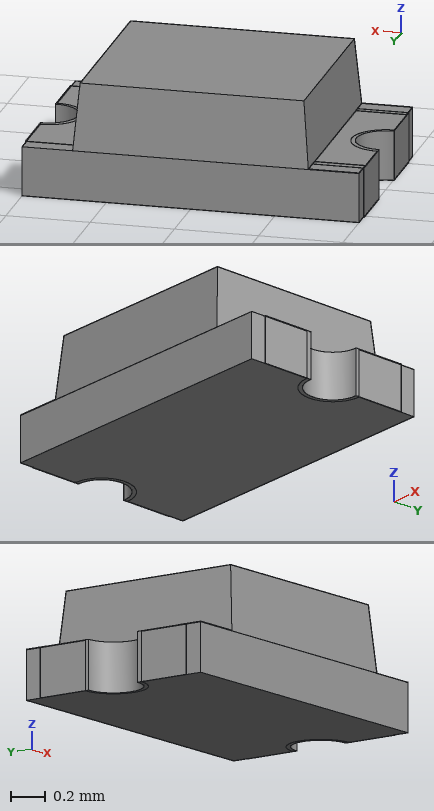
import cadquery as cq

board_length = 2.0
board_width = 1.25
board_height = 0.297
board_notch_radius = 0.2

lens_length = 1.399
lens_draft = 5.0
total_height = 0.7
lens_height = total_height - board_height

end_plating = 0.005
pad_thickness = 0.002
terminal_width = 1.05
open_notch_radius = 0.175
terminal_height = board_height + pad_thickness

mark_width = 0.143
mark_cover = 0.002

end_x = board_length / 2
pad_length = (board_length - lens_length) / 2
pad_x = end_x - pad_length / 2


def block(length, width, height, x=0, y=0, z=0):
    """Box centred on (x, y) with its base at height z."""
    return cq.Workplane("XY").box(length, width, height, centered=(True, True, False)).translate((x, y, z))


def end_cylinder(radius, side):
    """Upright cylinder of terminal height, centred on one end face of the board."""
    return cq.Workplane("XY").center(side * end_x, 0).circle(radius).extrude(terminal_height)


def make_pad(side):
    """Thin pad on the board top, from the lens to the board end."""
    return block(pad_length, terminal_width, pad_thickness, x=side * pad_x, z=board_height)


def make_board():
    """Plain board with a half-round notch in each end."""
    board = block(board_length, board_width, board_height)
    for side in (-1, 1):
        board = board.cut(end_cylinder(board_notch_radius, side))
    return board


def make_lens():
    """Block as wide as the board that narrows upward on all four sides."""
    base = cq.Workplane("XY").workplane(offset=board_height).rect(lens_length, board_width)
    return base.extrude(lens_height, taper=lens_draft)


def make_terminal(side):
    """End plate, notch sleeve and top pad in one piece, open along the notch."""
    plate = block(end_plating, terminal_width, terminal_height, x=side * (end_x + end_plating / 2))
    envelope = block(board_length, terminal_width, terminal_height)
    sleeve = end_cylinder(board_notch_radius, side).intersect(envelope)
    return plate.union(sleeve).union(make_pad(side)).cut(end_cylinder(open_notch_radius, side))


def make_mark(side):
    """Flat-topped strip at one Y edge of the -X end, lying on the board and lapping over the pad."""
    mark_y = side * (board_width - mark_width) / 2
    strip = block(pad_length, mark_width, pad_thickness + mark_cover, x=-pad_x, y=mark_y, z=board_height)
    return strip.cut(make_pad(-1))


board = make_board()
lens = make_lens()
terminals = [make_terminal(side) for side in (-1, 1)]
marks = [make_mark(side) for side in (-1, 1)]

result = cq.Compound.makeCompound(
    [
        board.val(),
        lens.val(),
        *[terminal.val() for terminal in terminals],
        *[mark.val() for mark in marks],
    ]
)